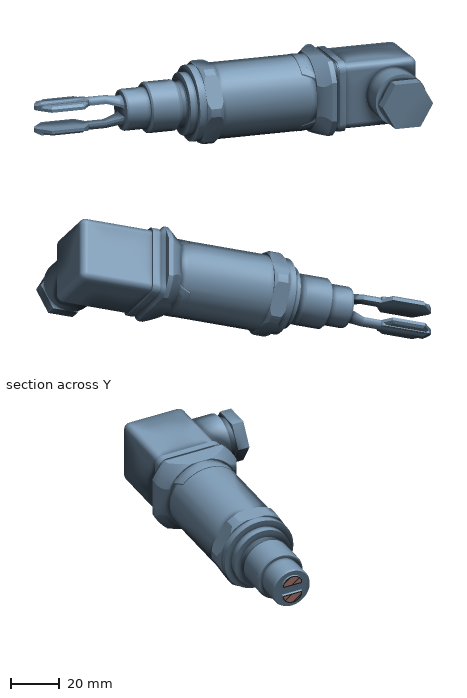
import cadquery as cq
import math

total_length = 162.1

housing_width = 27.9
housing_rounding = 2.9
housing_back_rounding = 2.8
rim_width = 30.0
rim_start = 31.5
rim_end = 34.4
neck_width = 29.0
neck_rounding = 2.9
gasket_start = 35.0
gasket_back_width = 28.5
gasket_front_width = 31.8

gland_diameter = 22.2
gland_radius = gland_diameter / 2
gland_end_x = 25.3
gland_neck_diameter = 17.3
gland_neck_radius = gland_neck_diameter / 2
gland_nut_start_x = 28.5
gland_nut_end_x = 33.7
gland_nut_flats = 19.0

crown_start = 36.8
crown_bevel_start = 38.9
crown_end = 44.1
crown_diameter = 41.3
crown_radius = crown_diameter / 2
crown_front_radius = 16.5
crown_waist_radius = 15.0
crown_width = 38.0
crown_bevel_bulge = 0.3

body_radius = 15.9
body_edge_end = 46.7
body_end = 95.3

tab_diameter = 32.0
tab_radius = tab_diameter / 2
tab_end = 49.5
tab_back_width = 26.0
tab_front_width = 22.7
tab_gap = 0.3
tab_gap_floor_radius = 15.5
panel_diameter = 31.6
panel_radius = panel_diameter / 2
panel_end = 46.5
panel_back_width = 23.0
panel_front_width = 20.1

hex_start = 85.3
hex_end = 92.2
hex_flats = tab_diameter
hex_corner_radius = 17.5
hex_chamfer_length = 1.3
hex_chamfer_depth = 1.0

collar_diameter = 26.1
collar_radius = collar_diameter / 2
collar_end = 98.4
relief_radius = 9.4
relief_flare = 0.5
relief_end = 100.3
thread_diameter = 21.2
thread_radius = thread_diameter / 2
thread_start = 102.3
thread_end = 114.3
thread_chamfer = 0.6
nose_diameter = 17.3
nose_radius = nose_diameter / 2
nose_end = 124.3
nose_chamfer_length = 0.8
nose_chamfer_depth = 0.3

tine_inner_z = 3.9
tine_outer_z = 7.0
tine_width = 4.7
tine_half_width = tine_width / 2
shoulder_fraction = 0.3
root_depth = 0.3
root_half_width = 4.9
root_inner_z = 1.6
root_outer_z = 6.5
flare_end = 125.8
flare_half_width = 3.7
flare_inner_z = 2.5
flare_outer_z = 6.2
taper_end = 131.3

paddle_start = 139.1
paddle_wide_start = 142.5
paddle_wide_end = 156.8
paddle_tip_start = 161.3
paddle_half_width = 6.8
paddle_tip_half_width = 2.0
paddle_thickness = 2.3
paddle_chamfer = 1.0
rib_foot_half_width = 3.2
rib_foot_z = 6.5
rib_slope_start = 158.7
rib_tip_z = 5.7


def plane_at(station):
    """Workplane across the sensor axis; extrusions run towards the fork tips."""
    return cq.Workplane("XZ", origin=(0, -station, 0))


def block(start, end, width, height):
    return plane_at(start).rect(width, height).extrude(end - start)


def rod(start, end, radius):
    return plane_at(start).circle(radius).extrude(end - start)


def turned(outline):
    """Revolve (radius, station) corners about the sensor axis."""
    points = [(radius, -station) for radius, station in outline]
    return cq.Workplane("XY").polyline(points).close().revolve(360, (0, 0, 0), (0, 1, 0))


def from_above(outline, height):
    """Extrude (x, station) corners upward from Z = 0."""
    points = [(x, -station) for x, station in outline]
    return cq.Workplane("XY").polyline(points).close().extrude(height)


def make_housing():
    case = block(0, rim_start, housing_width, housing_width)
    case = case.edges("|Y").fillet(housing_rounding).faces(">Y").edges().fillet(housing_back_rounding)
    rim_rounding = housing_rounding + (rim_width - housing_width) / 2
    rim = block(rim_start, rim_end, rim_width, rim_width).edges("|Y").fillet(rim_rounding)
    neck = block(rim_end, gasket_start, neck_width, neck_width).edges("|Y").fillet(neck_rounding)
    gasket = (
        plane_at(gasket_start)
        .placeSketch(
            cq.Sketch().rect(gasket_back_width, gasket_back_width).vertices().fillet(housing_rounding),
            cq.Sketch().rect(gasket_front_width, gasket_front_width).vertices().fillet(rim_rounding)
            .moved(cq.Location(cq.Vector(0, 0, crown_start - gasket_start))),
        )
        .loft()
    )
    return case.union(rim).union(neck).union(gasket)


def make_gland():
    axis = cq.Workplane("YZ", origin=(0, -gland_radius, 0))
    nut_corners = gland_nut_flats / math.cos(math.pi / 6)
    barrel = axis.circle(gland_radius).extrude(gland_end_x)
    neck = axis.circle(gland_neck_radius).extrude(gland_nut_end_x)
    nut = (
        axis.workplane(offset=gland_nut_start_x)
        .polygon(6, nut_corners)
        .extrude(gland_nut_end_x - gland_nut_start_x)
    )
    return barrel.union(neck).union(nut)


def arc_midpoint(start, end, bulge):
    """Point beside the middle of a chord, offset square to it by the bulge."""
    run, rise = end[0] - start[0], end[1] - start[1]
    length = math.hypot(run, rise)
    return (
        (start[0] + end[0]) / 2 - bulge * rise / length,
        (start[1] + end[1]) / 2 + bulge * run / length,
    )


def make_crown():
    cone = turned([
        (0, crown_start), (crown_radius, crown_start), (crown_radius, crown_bevel_start),
        (crown_front_radius, crown_end), (0, crown_end),
    ])
    outer = (crown_width / 2, -crown_bevel_start)
    waist = (crown_waist_radius, -crown_end)
    side = (
        cq.Workplane("XY")
        .moveTo(0, -crown_start)
        .lineTo(crown_width / 2, -crown_start)
        .lineTo(*outer)
        .threePointArc(arc_midpoint(outer, waist, crown_bevel_bulge), waist)
        .lineTo(0, -crown_end)
        .close()
        .extrude(tab_radius, both=True)
    )
    return cone.intersect(side.union(side.mirror("YZ")))


def trapezoid(back_width, front_width, end):
    """Prism above Z = 0 that narrows from the crown towards the fork."""
    return from_above(
        [
            (-back_width / 2, crown_end), (back_width / 2, crown_end),
            (front_width / 2, end), (-front_width / 2, end),
        ],
        tab_diameter,
    )


def both_z_sides(shape):
    return shape.union(shape.mirror("XY"))


def make_body():
    body = turned([
        (0, crown_end), (crown_waist_radius, crown_end), (body_radius, body_edge_end),
        (body_radius, body_end), (0, body_end),
    ])
    pocket = trapezoid(tab_back_width + 2 * tab_gap, tab_front_width + 2 * tab_gap, tab_end + tab_gap)
    pocket = pocket.cut(rod(crown_end, body_end, tab_gap_floor_radius))
    tab = trapezoid(tab_back_width, tab_front_width, tab_end).intersect(rod(crown_end, tab_end, tab_radius))
    panel = trapezoid(panel_back_width, panel_front_width, panel_end)
    panel = panel.cut(rod(crown_end, panel_end, panel_radius))
    return body.cut(both_z_sides(pocket)).union(both_z_sides(tab.cut(panel)))


def make_wrench_hex():
    corners = hex_flats / math.cos(math.pi / 6)
    prism = plane_at(hex_start).polygon(6, corners).extrude(hex_end - hex_start)
    end_radius = hex_corner_radius - hex_chamfer_depth
    envelope = turned([
        (0, hex_start), (end_radius, hex_start), (hex_corner_radius, hex_start + hex_chamfer_length),
        (hex_corner_radius, hex_end - hex_chamfer_length), (end_radius, hex_end), (0, hex_end),
    ])
    return prism.intersect(envelope)


def make_connection():
    return turned([
        (0, body_end), (collar_radius, body_end), (collar_radius, collar_end),
        (relief_radius + relief_flare, collar_end), (relief_radius, collar_end + relief_flare),
        (relief_radius, relief_end),
        (thread_radius, thread_start), (thread_radius, thread_end - thread_chamfer),
        (thread_radius - thread_chamfer, thread_end), (nose_radius, thread_end),
        (nose_radius, nose_end - nose_chamfer_length), (nose_radius - nose_chamfer_depth, nose_end),
        (0, nose_end),
    ])


def tine_section(sketcher, half_width, inner_z, outer_z):
    """D-shaped section, flat towards the other tine and rounded outside."""
    shoulder_z = inner_z + shoulder_fraction * (outer_z - inner_z)
    return (
        sketcher.moveTo(-half_width, inner_z)
        .lineTo(half_width, inner_z)
        .lineTo(half_width, shoulder_z)
        .threePointArc((0, outer_z), (-half_width, shoulder_z))
        .close()
    )


def make_tine():
    root_start = nose_end - root_depth
    root = tine_section(plane_at(root_start), root_half_width, root_inner_z, root_outer_z)
    root = root.workplane(offset=flare_end - root_start)
    root = tine_section(root, flare_half_width, flare_inner_z, flare_outer_z)
    root = root.workplane(offset=taper_end - flare_end)
    root = tine_section(root, tine_half_width, tine_inner_z, tine_outer_z).loft(ruled=True)
    stem = tine_section(plane_at(taper_end), tine_half_width, tine_inner_z, tine_outer_z)
    stem = stem.extrude(paddle_start - taper_end)
    return root.union(stem)


def paddle_prism(height):
    """Paddle outline raised from the inner face of the tine."""
    return (
        cq.Workplane("XY", origin=(0, 0, tine_inner_z))
        .moveTo(-tine_half_width, -paddle_start)
        .lineTo(-paddle_half_width, -paddle_wide_start)
        .lineTo(-paddle_half_width, -paddle_wide_end)
        .lineTo(-paddle_tip_half_width, -paddle_tip_start)
        .threePointArc((0, -total_length), (paddle_tip_half_width, -paddle_tip_start))
        .lineTo(paddle_half_width, -paddle_wide_end)
        .lineTo(paddle_half_width, -paddle_wide_start)
        .lineTo(tine_half_width, -paddle_start)
        .close()
        .extrude(height)
    )


def make_paddle():
    plate = paddle_prism(paddle_thickness).faces(">Z").edges().chamfer(paddle_chamfer)
    rib = tine_section(plane_at(paddle_start), tine_half_width, tine_inner_z, tine_outer_z)
    rib = rib.extrude(total_length - paddle_start)
    foot = block(paddle_start, total_length, 2 * rib_foot_half_width, 2 * rib_foot_z)
    tip_slope = (
        cq.Workplane("YZ")
        .polyline([
            (-rib_slope_start, tine_outer_z), (-total_length, rib_tip_z), (-total_length, tine_outer_z),
        ])
        .close()
        .extrude(paddle_half_width, both=True)
    )
    rib = rib.union(foot).intersect(paddle_prism(tine_outer_z - tine_inner_z))
    return plate.union(rib).cut(tip_slope)


fork_half = make_tine().union(make_paddle())
result = (
    make_housing()
    .union(make_gland())
    .union(make_crown())
    .union(make_body())
    .union(make_wrench_hex())
    .union(make_connection())
    .union(both_z_sides(fork_half))
)